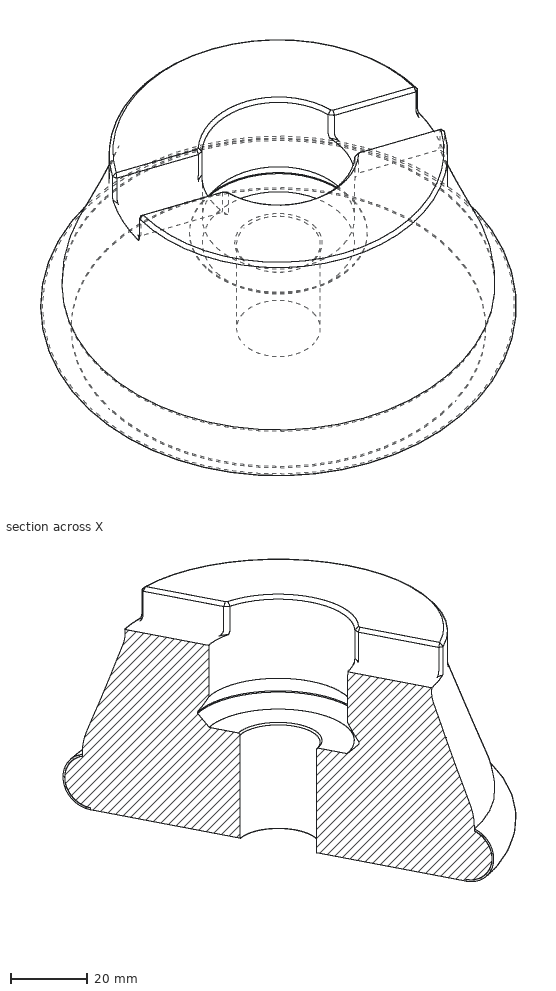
import cadquery as cq
import math

height = 63.0
outer_radius = 125 / 2

rim_radius = 8.0
rim_center_radius = outer_radius - rim_radius
layer_thickness = 0.5

top_radius = 89.0 / 2
base_radius = 56.9
top_arc_start_z = 52.7
top_arc_radius = 9.0
bottom_arc_end_z = 16.2
bottom_arc_radius = 16.0
cone_angle = math.radians(21.8)

mouth_radius = 40.2 / 2
bore_radius = 40 / 2
bore_taper_length = 1.4
relief_radius = 23.4
relief_top_z = 39.2
relief_flare_height = 5.1
relief_wall_height = 0.4
relief_wall_top_z = relief_top_z - relief_flare_height
relief_wall_bottom_z = relief_wall_top_z - relief_wall_height
bore_floor_z = relief_wall_bottom_z - (relief_radius - bore_radius)
hole_radius = 22.0 / 2
hole_chamfer = 0.5

slot_width = 16.0
slot_depth = 9.0
slot_fillet = 1.5
slot_floor_z = height - slot_depth
edge_chamfer = 1.0


def rim_disc(section_radius):
    """Solid of the rim's round section, filled in to the axis."""
    return (
        cq.Workplane("XZ")
        .moveTo(0, rim_radius - section_radius)
        .lineTo(rim_center_radius, rim_radius - section_radius)
        .threePointArc(
            (rim_center_radius + section_radius, rim_radius),
            (rim_center_radius, rim_radius + section_radius),
        )
        .lineTo(0, rim_radius + section_radius)
        .close()
        .revolve(360, (0, 0), (0, 1))
    )


def arc_point(center_r, center_z, radius, angle):
    """Point of an arc in the radius-height plane."""
    return (center_r + radius * math.cos(angle), center_z + radius * math.sin(angle))


def flared_wall():
    """Solid of revolution inside the flared outer wall."""
    top_center = top_radius + top_arc_radius
    bottom_center = base_radius - bottom_arc_radius
    top_arc = [
        arc_point(top_center, top_arc_start_z, top_arc_radius, math.pi + a)
        for a in (cone_angle / 2, cone_angle)
    ]
    bottom_arc = [
        arc_point(bottom_center, bottom_arc_end_z, bottom_arc_radius, a)
        for a in (cone_angle, cone_angle / 2)
    ]
    return (
        cq.Workplane("XZ")
        .moveTo(0, 0)
        .lineTo(0, height)
        .lineTo(top_radius, height)
        .lineTo(top_radius, top_arc_start_z)
        .threePointArc(*top_arc)
        .lineTo(*bottom_arc[0])
        .threePointArc(bottom_arc[1], (base_radius, bottom_arc_end_z))
        .lineTo(base_radius, rim_radius)
        .lineTo(rim_center_radius, rim_radius)
        .lineTo(rim_center_radius, 0)
        .close()
        .revolve(360, (0, 0), (0, 1))
    )


def bore():
    """Stepped bore with a flared relief above its floor and a chamfered through hole."""
    return (
        cq.Workplane("XZ")
        .moveTo(0, 0)
        .lineTo(hole_radius, 0)
        .lineTo(hole_radius, bore_floor_z - hole_chamfer)
        .lineTo(hole_radius + hole_chamfer, bore_floor_z)
        .lineTo(bore_radius, bore_floor_z)
        .lineTo(relief_radius, relief_wall_bottom_z)
        .lineTo(relief_radius, relief_wall_top_z)
        .lineTo(bore_radius, relief_top_z)
        .lineTo(bore_radius, slot_floor_z - bore_taper_length)
        .lineTo(mouth_radius, slot_floor_z)
        .lineTo(mouth_radius, height)
        .lineTo(0, height)
        .close()
        .revolve(360, (0, 0), (0, 1))
    )


def slot():
    """Straight slot along Y with rounded bottom corners."""
    return (
        cq.Workplane("XY", origin=(0, 0, slot_floor_z))
        .box(slot_width, 2 * outer_radius, slot_depth, centered=(True, True, False))
        .edges("|Y and <Z")
        .fillet(slot_fillet)
    )


def make_hub():
    """Flared hub with its bore and slot; the slot walls are chamfered, its floor keeps sharp ends."""
    blank = flared_wall().union(rim_disc(rim_radius - layer_thickness)).cut(bore())
    below_slot = blank.intersect(cq.Workplane("XY").circle(outer_radius).extrude(slot_floor_z))
    slotted = blank.cut(slot())
    slot_zone = cq.selectors.BoxSelector(
        (-slot_width, -outer_radius, slot_floor_z), (slot_width, outer_radius, height)
    )
    corner_edges = slotted.edges("|Z").edges(slot_zone)
    chamfered = slotted.faces(">Z").edges().add(corner_edges).chamfer(edge_chamfer)
    return chamfered.union(below_slot)


def make_rim_layer():
    """Thin layer around the rim, from the base up to the flared wall."""
    return rim_disc(rim_radius).cut(rim_disc(rim_radius - layer_thickness)).cut(flared_wall())


hub = make_hub()
rim_layer = make_rim_layer()

result = cq.Compound.makeCompound([hub.val(), rim_layer.val()])